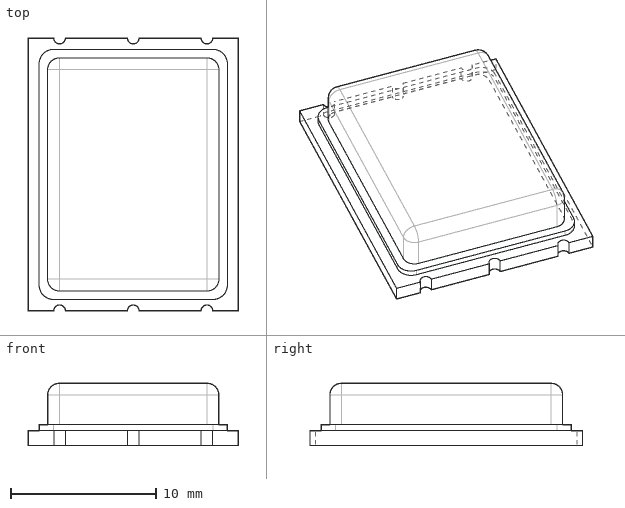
import cadquery as cq

base_width = 14.48
base_length = 18.8
base_thickness = 1.03

notch_radius = 0.4
notch_pitch = 5.08

flange_width = 12.97
flange_length = 17.24
flange_thickness = 0.41
flange_corner_radius = 1.0

total_height = 4.3
lid_width = 11.8
lid_length = 16.05
lid_edge_radius = 0.8

flange_bottom = base_thickness
lid_bottom = flange_bottom + flange_thickness
lid_height = total_height - lid_bottom


def rounded_block(width, length, height, bottom, corner_radius):
    """Block centred on Z with rounded vertical edges."""
    block = cq.Workplane("XY").workplane(offset=bottom).rect(width, length).extrude(height)
    return block.edges("|Z").fillet(corner_radius)


def make_base():
    """Flat plate with three half-round notches in each short edge."""
    plate = cq.Workplane("XY").rect(base_width, base_length).extrude(base_thickness)
    notch_centers = [
        (column * notch_pitch, side * base_length / 2)
        for column in (-1, 0, 1)
        for side in (-1, 1)
    ]
    notches = cq.Workplane("XY").pushPoints(notch_centers).circle(notch_radius).extrude(base_thickness)
    return plate.cut(notches)


def make_lid():
    """Lid with equally rounded vertical and top edges."""
    lid = rounded_block(lid_width, lid_length, lid_height, lid_bottom, lid_edge_radius)
    return lid.faces(">Z").edges().fillet(lid_edge_radius)


flange = rounded_block(
    flange_width, flange_length, flange_thickness, flange_bottom, flange_corner_radius
)
result = make_base().union(flange).union(make_lid())